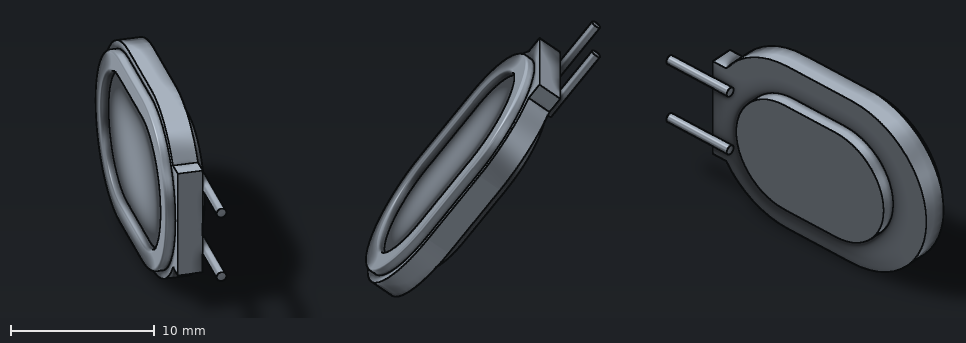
import cadquery as cq

overall_length = 23.7
plate_height = 14.0
straight_length = 6.0
plate_thickness = 1.8
plate_length = straight_length + plate_height

rim_inset = 0.6
rim_depth = 0.7
rim_height = plate_height - 2 * rim_inset
edge_fillet = 0.21

recess_height = 9.79
recess_depth = 0.6

boss_height = 9.0
boss_straight_length = 4.79
boss_thickness = 1.0

tab_width = 8.0
tab_end = plate_length / 2

pin_diameter = 0.7
pin_length = 5.66
pin_spacing = 5.0
pin_end = overall_length - plate_length / 2
pin_start = pin_end - pin_length

plate_front = -plate_thickness
rim_front = plate_front - rim_depth


def stadium(straight, height, front, depth):
    """Stadium along X, extending from Y = front toward +Y by depth."""
    return (
        cq.Workplane("XZ")
        .workplane(offset=-front)
        .slot2D(straight + height, height)
        .extrude(-depth)
    )


def make_tab():
    return cq.Workplane("XY").box(
        tab_end, plate_thickness, tab_width, centered=(False, True, True)
    ).translate((0, -plate_thickness / 2, 0))


def make_rim():
    """Front rim, rounded at its outer and recess edges."""
    rim = stadium(straight_length, rim_height, rim_front, rim_depth)
    recess = stadium(straight_length, recess_height, rim_front, recess_depth)
    return rim.cut(recess).faces("<Y").edges().fillet(edge_fillet)


def make_housing():
    plate = stadium(straight_length, plate_height, plate_front, plate_thickness)
    boss = stadium(boss_straight_length, boss_height, 0, boss_thickness)
    return plate.union(make_tab()).union(make_rim()).union(boss)


def make_pin(height):
    """Round pin along X, centred at Z = height and tangent to the back face."""
    return (
        cq.Workplane("YZ", origin=(pin_start, pin_diameter / 2, height))
        .circle(pin_diameter / 2)
        .extrude(pin_length)
    )


housing = make_housing()
pins = [make_pin(side * pin_spacing / 2) for side in (-1, 1)]

result = cq.Compound.makeCompound([housing.val(), *[pin.val() for pin in pins]])